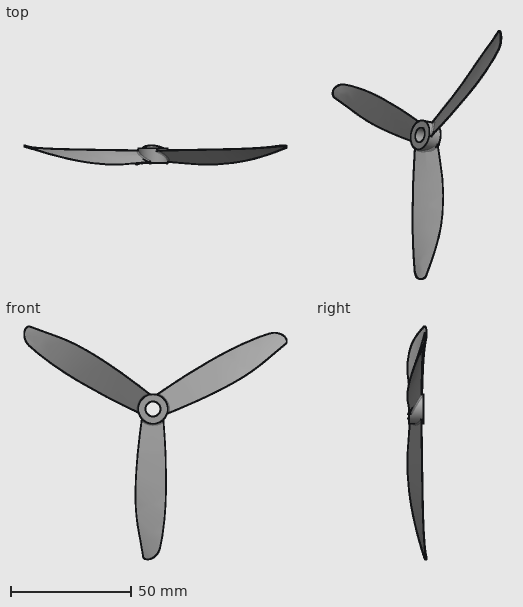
import cadquery as cq
import math

BORE_DIAMETER = 6.15
HUB_DIAMETER = 2 * BORE_DIAMETER
HUB_LENGTH = BORE_DIAMETER

BLADE_COUNT = 3
BLADE_THICKNESS = 0.6
FRONT_EDGE_THICKNESS = 0.12
BACK_EDGE_THICKNESS = 0.25
EDGE_MARGIN = 0.15
ROOT_RADIUS = 3.6
TIP_RADIUS = 62.52
TIP_MARGIN = 1.4
ROOT_FILLET = 0.5
TOLERANCE = 0.01

STATIONS = [
    (ROOT_RADIUS, -4.6, 4.3, 2.85, 0.52),
    (16.0, -6.15, 5.15, 2.6, 0.51),
    (30.0, -7.2, 5.5, 2.9, 0.46),
    (46.0, -6.75, 4.8, 4.2, 0.33),
    (56.0, -5.05, 3.35, 5.6, 0.21),
]
END_STATION = (TIP_RADIUS + TIP_MARGIN, -4.4, 2.5, 7.32, 0.08)

FRONT_EDGE_END = (-4.15, -61.3)
TIP_POINTS = [(-3.7, -62.1), (-2.6, -TIP_RADIUS), (0.0, -61.85), (2.2, -59.6)]


def make_hub():
    ring = cq.Workplane("XZ").circle(HUB_DIAMETER / 2).circle(BORE_DIAMETER / 2)
    return ring.extrude(-HUB_LENGTH)


def blade_section(radius, front_x, back_x, height, slope):
    """Cross-section of the blade stock: a straight front face and an arched back face."""
    start_x = front_x - EDGE_MARGIN
    end_x = back_x + EDGE_MARGIN
    middle_x = (start_x + end_x) / 2

    def point(x, thickness):
        return cq.Vector(x, height + slope * x + thickness, -radius)

    front_start = point(start_x, 0)
    front_end = point(end_x, 0)
    back_start = point(start_x, FRONT_EDGE_THICKNESS)
    back_middle = point(middle_x, BLADE_THICKNESS)
    back_end = point(end_x, BACK_EDGE_THICKNESS)
    return cq.Wire.assembleEdges(
        [
            cq.Edge.makeLine(front_start, front_end),
            cq.Edge.makeLine(front_end, back_end),
            cq.Edge.makeThreePointArc(back_end, back_middle, back_start),
            cq.Edge.makeLine(back_start, front_start),
        ]
    )


def make_blade():
    sections = [blade_section(*station) for station in STATIONS + [END_STATION]]
    stock = cq.Workplane(cq.Solid.makeLoft(sections))
    front_edge = [(front_x, -radius) for radius, front_x, *_ in STATIONS]
    back_edge = [(back_x, -radius) for radius, _, back_x, *_ in STATIONS]
    outline = (
        cq.Workplane("XZ")
        .moveTo(*front_edge[0])
        .spline(front_edge[1:] + [FRONT_EDGE_END], includeCurrent=True)
        .spline(TIP_POINTS + back_edge[::-1], includeCurrent=True)
        .close()
        .extrude(2 * HUB_LENGTH, both=True)
    )
    return stock.intersect(outline)


def lies_on_hub(edge):
    """True where both ends and the middle of an edge lie on the hub's outer surface."""
    points = [edge.positionAt(fraction) for fraction in (0, 0.5, 1)]
    hub_radius = HUB_DIAMETER / 2
    return all(abs(math.hypot(point.x, point.z) - hub_radius) < TOLERANCE for point in points)


def make_filleted_blade():
    """Blade outside the hub surface, with its root flared by the fillet.

    The fillet is rolled on a core longer than the hub, so that it runs all round the root.
    """
    core = cq.Workplane("XZ").circle(HUB_DIAMETER / 2).extrude(2 * HUB_LENGTH, both=True)
    core = core.rotate((0, 0, 0), (0, 1, 0), 90)
    joined = core.union(make_blade())
    seam = [edge for edge in joined.edges("%BSPLINE").vals() if lies_on_hub(edge)]
    filleted = cq.Workplane(joined.val().fillet(ROOT_FILLET, seam))
    return filleted.cut(core)


def make_propeller():
    propeller = make_hub()
    blade = make_filleted_blade()
    for index in range(BLADE_COUNT):
        angle = index * 360 / BLADE_COUNT
        propeller = propeller.union(blade.rotate((0, 0, 0), (0, 1, 0), angle))
    return propeller.solids()


result = make_propeller()